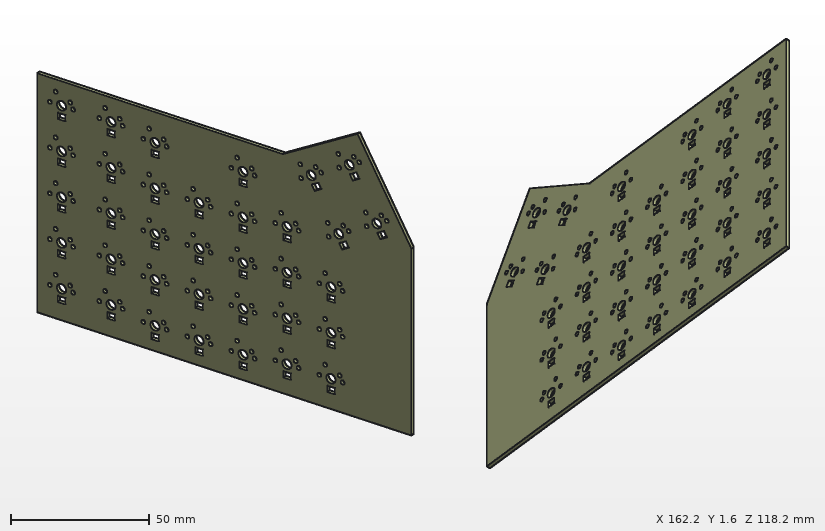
import cadquery as cq
import math

plate_width = 162.2
plate_thickness = 1.6
plate_peak_height = 118.2
plate_left_height = 99.5
peak_x = 138.8
thumb_tilt = 30.0
thumb_top_margin = 10.4
thumb_side_margin = 10.2

four_pitches = 76.2
key_pitch = four_pitches / 4
top_margin = 10.2
side_margin = 10.5
wide_column_step = 9 / 8 * key_pitch
wide_thumb_step = 5 / 4 * key_pitch
middle_column_drop = 2.6
inner_column_drop = 0.5

stem_hole_diameter = 3.9
small_hole_diameter = 1.6
mount_hole_offset = 5.0
pin_grid = mount_hole_offset / 4
window_width = 3.2
window_height = 2.6
window_drop = 4.7


def rotated(x, z, angle):
    """Turn a point about the origin, counter-clockwise, by an angle in degrees."""
    cosine = math.cos(math.radians(angle))
    sine = math.sin(math.radians(angle))
    return (x * cosine - z * sine, x * sine + z * cosine)


def make_plate():
    tilt = math.radians(thumb_tilt)
    notch_x = peak_x - (plate_peak_height - plate_left_height) / math.tan(tilt)
    right_height = plate_peak_height - (plate_width - peak_x) / math.tan(tilt)
    outline = [
        (0, 0),
        (plate_width, 0),
        (plate_width, right_height),
        (peak_x, plate_peak_height),
        (notch_x, plate_left_height),
        (0, plate_left_height),
    ]
    return cq.Workplane("XZ").polyline(outline).close().extrude(-plate_thickness)


def main_keys():
    """Upright keys as (x, z, tilt), column by column from the left edge."""
    top_row_z = plate_left_height - top_margin
    columns = [
        (0, 0, range(0, 5)),
        (wide_column_step, 0, range(0, 5)),
        (key_pitch, middle_column_drop, range(0, 5)),
        (key_pitch, middle_column_drop, range(1, 5)),
        (key_pitch, middle_column_drop, range(0, 5)),
        (key_pitch, inner_column_drop, range(1, 5)),
        (key_pitch, inner_column_drop, range(2, 5)),
    ]
    keys = []
    column_x = side_margin
    for step, drop, rows in columns:
        column_x += step
        for row in rows:
            keys.append((column_x, top_row_z - drop - row * key_pitch, 0))
    return keys


def thumb_keys():
    """Two by two tilted keys, set in from the two edges that meet at the peak."""
    keys = []
    for along in (0, key_pitch):
        for down in (0, wide_thumb_step):
            x, z = rotated(-thumb_side_margin - along, -thumb_top_margin - down, thumb_tilt)
            keys.append((peak_x + x, plate_peak_height + z, thumb_tilt))
    return keys


def through_holes(points, diameter):
    return (
        cq.Workplane("XZ")
        .pushPoints(points)
        .circle(diameter / 2)
        .extrude(-plate_thickness)
    )


def make_switch_cutter():
    """All cut-outs of one upright switch centred on the origin."""
    small_holes = [
        (-mount_hole_offset, 0),
        (mount_hole_offset, 0),
        (-2 * pin_grid, 4 * pin_grid),
        (3 * pin_grid, 2 * pin_grid),
    ]
    window = (
        cq.Workplane("XZ")
        .center(0, -window_drop)
        .rect(window_width, window_height)
        .extrude(-plate_thickness)
    )
    solids = through_holes([(0, 0)], stem_hole_diameter).vals()
    solids += through_holes(small_holes, small_hole_diameter).vals()
    solids += window.vals()
    return cq.Compound.makeCompound(solids)


switch_cutter = make_switch_cutter()
cutters = []
for key_x, key_z, key_tilt in main_keys() + thumb_keys():
    turned = switch_cutter.rotate(cq.Vector(0, 0, 0), cq.Vector(0, -1, 0), key_tilt)
    cutters.append(turned.translate(cq.Vector(key_x, 0, key_z)))

result = make_plate().cut(cq.Workplane(obj=cq.Compound.makeCompound(cutters)))